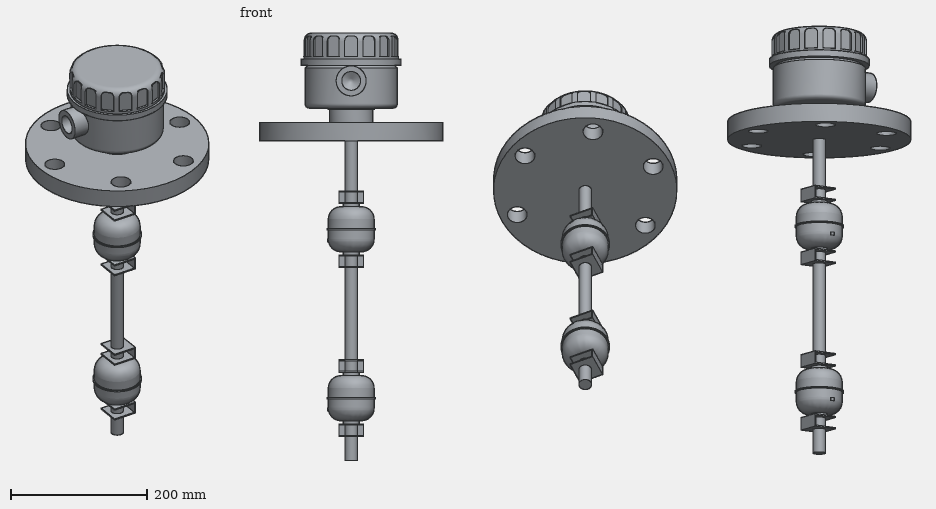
import cadquery as cq

flange_diameter = 269.0
flange_thickness = 27.0
bolt_count = 6
bolt_hole_diameter = 29.0
bolt_circle_radius = 109.0
stem_radius = 9.5
overall_height = 627.5

neck_radius = 32.0
neck_height = 21.0
neck_ring_radius = 34.0
neck_ring_height = 2.0
housing_radius = 68.0
housing_height = 63.0
housing_bottom_fillet = 6.0
housing_top_chamfer = 4.0
entry_radius = 22.0
entry_reach = 88.0
entry_height = 40.0
entry_hole_radius = 14.0
entry_hole_depth = 25.0
drill_point_depth = 8.0

cap_radius = 69.5
cap_height = 47.5
cap_top_fillet = 12.0
collar_radius = 73.5
collar_height = 9.5
grip_count = 16
grip_width = 19.0
grip_depth = 4.0
grip_corner_radius = 6.0
grip_bottom = 13.0
grip_top_margin = 4.5

float_radius = 34.0
float_half_height = 33.0
float_edge_radius = 19.0
hub_radius = 12.0
hub_length = 4.5
seam_radius = 36.0
seam_thickness = 2.0
stud_width = 6.0
stud_height = 4.5
stud_projection = 0.5
stud_drop = 16.0
float_drops = (130.0, 377.5)

clip_width = 36.5
clip_height = 19.0
clip_thickness = 2.0
clip_front = 16.0
clip_back = 20.0

neck_bottom = flange_thickness
housing_bottom = neck_bottom + neck_height
cap_bottom = housing_bottom + housing_height
cap_top = cap_bottom + cap_height
stem_length = overall_height - cap_top
float_reach = float_half_height + hub_length


def cylinder(radius, height, bottom):
    return cq.Workplane("XY").workplane(offset=bottom).circle(radius).extrude(height)


def make_flanged_stem():
    """Bolting flange with the guide stem welded to its underside."""
    flange = (
        cylinder(flange_diameter / 2, flange_thickness, 0)
        .faces(">Z")
        .workplane()
        .polarArray(bolt_circle_radius, 90, 360, bolt_count)
        .hole(bolt_hole_diameter)
    )
    stem = cylinder(stem_radius, stem_length, -stem_length)
    return flange.union(stem)


def make_housing():
    """Round terminal housing with a neck below and a cable entry towards -Y."""
    bowl = cylinder(housing_radius, housing_height, housing_bottom)
    bowl = bowl.faces("<Z").edges().fillet(housing_bottom_fillet)
    bowl = bowl.faces(">Z").edges().chamfer(housing_top_chamfer)
    neck = cylinder(neck_radius, neck_height, neck_bottom)
    ring = cylinder(neck_ring_radius, neck_ring_height, housing_bottom - neck_ring_height)
    entry_axis = housing_bottom + entry_height
    entry = cq.Workplane("XZ", origin=(0, 0, entry_axis)).circle(entry_radius).extrude(entry_reach)
    hole_end = entry_reach - entry_hole_depth
    hole = (
        cq.Workplane("XY", origin=(0, 0, entry_axis))
        .moveTo(0, -entry_reach)
        .lineTo(entry_hole_radius, -entry_reach)
        .lineTo(entry_hole_radius, -hole_end)
        .lineTo(0, drill_point_depth - hole_end)
        .close()
        .revolve(360, (0, 0, 0), (0, 1, 0))
    )
    return bowl.union(neck).union(ring).union(entry).cut(hole)


def make_cap():
    """Screw cap with a collar at its base and rounded-top grip recesses around it."""
    cap = cylinder(cap_radius, cap_height, cap_bottom).faces(">Z").edges().fillet(cap_top_fillet)
    cap = cap.union(cylinder(collar_radius, collar_height, cap_bottom))
    recess_bottom = cap_bottom + grip_bottom
    recess_height = cap_top - grip_top_margin - recess_bottom
    recess_floor = cap_radius - grip_depth
    recess = (
        cq.Workplane("XY", origin=(recess_floor, 0, recess_bottom))
        .box(2 * grip_depth, grip_width, recess_height, centered=(False, True, False))
        .edges(">Z and |X")
        .fillet(grip_corner_radius)
    )
    for i in range(grip_count):
        cap = cap.cut(recess.rotate((0, 0, 0), (0, 0, 1), i * 360 / grip_count))
    return cap


def make_float(seam_height):
    """Bored float with hubs at both ends, a seam ring and a small stud towards -X."""
    body = cylinder(float_radius, 2 * float_half_height, -float_half_height)
    body = body.edges().fillet(float_edge_radius)
    hubs = cylinder(hub_radius, 2 * float_reach, -float_reach)
    seam = cylinder(seam_radius, seam_thickness, -seam_thickness / 2)
    stud = cq.Workplane("XY", origin=(-float_radius - stud_projection, 0, -stud_drop)).box(
        float_radius / 2, stud_width, stud_height, centered=(False, True, True)
    )
    bore = cylinder(stem_radius, 2 * float_reach, -float_reach)
    return body.union(hubs).union(seam).union(stud).cut(bore).translate((0, 0, seam_height))


def make_clip(bottom):
    """U-shaped clip: two plates around the stem joined by a wall on the +Y side."""
    depth = clip_front + clip_back
    block = cq.Workplane("XY", origin=(0, -clip_front, bottom)).box(
        clip_width, depth, clip_height, centered=(True, False, False)
    )
    opening = cq.Workplane("XY", origin=(0, -clip_front, bottom + clip_thickness)).box(
        clip_width, depth - clip_thickness, clip_height - 2 * clip_thickness, centered=(True, False, False)
    )
    return block.cut(opening).cut(cylinder(stem_radius, clip_height, bottom))


flanged_stem = make_flanged_stem()
housing = make_housing()
cap = make_cap()
floats = []
clips = []
for drop in float_drops:
    floats.append(make_float(-drop))
    clips.append(make_clip(-drop + float_reach))
    clips.append(make_clip(-drop - float_reach - clip_height))

result = cq.Compound.makeCompound(
    [flanged_stem.val(), housing.val(), cap.val()] + [body.val() for body in floats + clips]
)